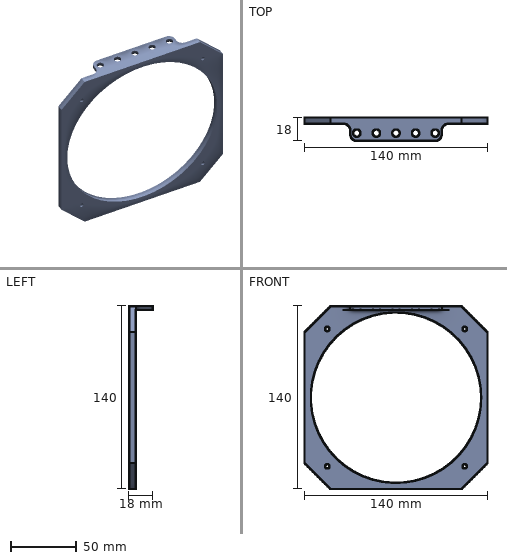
import cadquery as cq

side = 140.0
plate_thickness = 5.0
corner_cut = 20.0
opening_diameter = 130.0
mount_hole_diameter = 3.2
mount_hole_spacing = 105.0

overall_depth = 18.0
tab_reach = overall_depth - plate_thickness
tab_width = 70.0
tab_thickness = 3.0
tab_radius = 5.0
tab_hole_diameter = 5.5
tab_hole_count = 5
tab_hole_pitch = 15.0
tab_hole_from_plate = 7.0


def make_plate():
    """Square plate with cut corners, a round opening and four mounting holes."""
    plate = (
        cq.Workplane("XY")
        .box(side, plate_thickness, side, centered=(True, False, True))
        .edges("|Y")
        .chamfer(corner_cut)
    )
    opening = cq.Workplane("XZ").circle(opening_diameter / 2).extrude(-plate_thickness)
    mount_holes = (
        cq.Workplane("XZ")
        .rect(mount_hole_spacing, mount_hole_spacing, forConstruction=True)
        .vertices()
        .circle(mount_hole_diameter / 2)
        .extrude(-plate_thickness)
    )
    return plate.cut(opening).cut(mount_holes)


def make_tab():
    """Flat tab with flared roots, rounded outer corners and a row of holes."""
    half_width = tab_width / 2
    flare_half_width = half_width + tab_radius
    tip_half_width = half_width - tab_radius
    outer_corner_start = tab_radius - tab_reach
    tab = (
        cq.Workplane("XY")
        .workplane(offset=side / 2 - tab_thickness)
        .moveTo(-flare_half_width, 0)
        .radiusArc((-half_width, -tab_radius), tab_radius)
        .lineTo(-half_width, outer_corner_start)
        .radiusArc((-tip_half_width, -tab_reach), -tab_radius)
        .lineTo(tip_half_width, -tab_reach)
        .radiusArc((half_width, outer_corner_start), -tab_radius)
        .lineTo(half_width, -tab_radius)
        .radiusArc((flare_half_width, 0), tab_radius)
        .close()
        .extrude(tab_thickness)
    )
    holes = (
        cq.Workplane("XY")
        .workplane(offset=side / 2 - tab_thickness)
        .center(0, -tab_hole_from_plate)
        .rarray(tab_hole_pitch, 1.4, tab_hole_count, 1)
        .circle(tab_hole_diameter / 2)
        .extrude(tab_thickness)
    )
    return tab.cut(holes)


result = make_plate().union(make_tab())